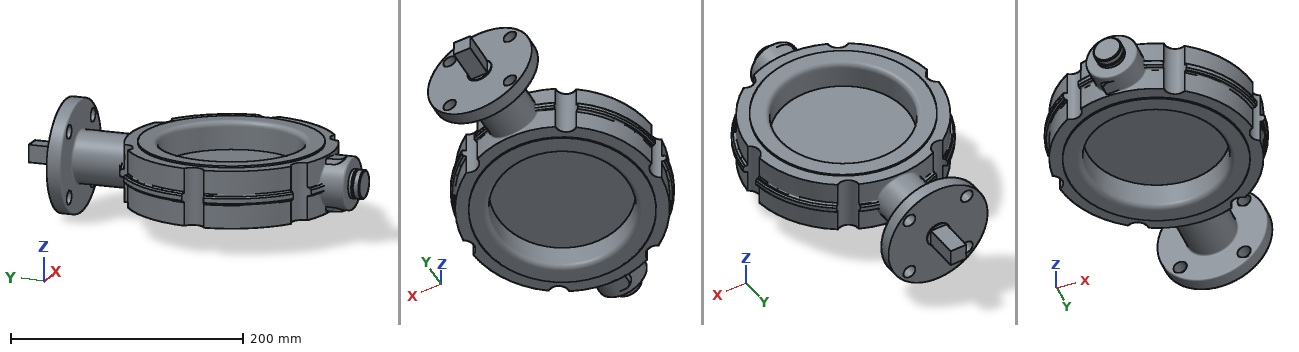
import cadquery as cq
import math


body_radius = 92.3
body_half_height = 25.7
seat_radius = 80.7
seat_half_height = 27.2
bore_radius = 63.3
bore_lip_radius = 5.0
disc_half_height = 1.8

rib_radius = 96.3
rib_half_width = 3.7
rib_edge_chamfer = 1.5

notch_count = 6
notch_radius = 10.0
notch_circle_radius = 96.3

root_fillet = 1.2

neck_radius = 23.5
neck_flange_fillet = 1.8
flange_radius = 50.7
flange_bottom = 138.2
flange_top = 151.0
flange_edge_fillet = 1.5
flange_hole_spacing = 58.7
flange_hole_diameter = 12.2

stem_collar_radius = 11.5
stem_collar_height = 1.0
stem_width = 16.0
stem_end = 183.5

boss_end = -112.0
boss_edge_fillet = 1.8
plug_radius = 12.8
plug_end = -122.3
plug_chamfer = 1.0
groove_start = -114.5
groove_width = 1.8
groove_depth = 1.5

pad_radius = 7.3
pad_center_x = -4.3
pad_center_y = -98.7
pad_root_y = -88.5
pad_depth = 5.5
pad_side_angle = 25.0

edge_tolerance = 0.05
edge_fractions = (0.2, 0.5, 0.8)


def y_cylinder(radius, y_start, y_end):
    """Cylinder on the Y axis between two Y positions."""
    plane = cq.Workplane("XZ", origin=(0, y_start, 0))
    return plane.circle(radius).extrude(y_start - y_end)


def z_cylinder(radius, half_height):
    """Cylinder on the Z axis, centred on the XY plane."""
    return cq.Workplane("XY").circle(radius).extrude(half_height, both=True)


def make_neck():
    """Neck with the flange, its holes and the square stem."""
    flange = y_cylinder(flange_radius, flange_bottom, flange_top)
    flange = flange.faces("<Y").edges().fillet(flange_edge_fillet)
    neck = flange.union(y_cylinder(neck_radius, 0, flange_bottom))
    reach = neck_radius + edge_tolerance
    flange_root = cq.selectors.BoxSelector(
        (-reach, flange_bottom - edge_tolerance, -reach),
        (reach, flange_bottom + edge_tolerance, reach),
        boundingbox=True,
    )
    neck = neck.edges(flange_root).fillet(neck_flange_fillet)
    holes = (
        cq.Workplane("XZ", origin=(0, flange_top, 0))
        .rect(flange_hole_spacing, flange_hole_spacing, forConstruction=True)
        .vertices()
        .circle(flange_hole_diameter / 2)
        .extrude(flange_top - flange_bottom)
    )
    collar = y_cylinder(stem_collar_radius, flange_top, flange_top + stem_collar_height)
    stem = cq.Workplane("XZ", origin=(0, stem_end, 0)).rect(stem_width, stem_width)
    stem = stem.extrude(stem_end - flange_top)
    return neck.cut(holes).union(collar).union(stem)


def make_pad():
    """Round-ended pad on the upper side of the boss, with sides that slope outward going down."""
    left = pad_center_x - pad_radius
    tip = pad_center_y - pad_radius
    return (
        cq.Workplane("XY", origin=(0, 0, neck_radius))
        .moveTo(left, pad_root_y)
        .lineTo(left, pad_center_y)
        .radiusArc((pad_center_x, tip), -pad_radius)
        .lineTo(0, tip)
        .lineTo(0, pad_root_y)
        .close()
        .extrude(-pad_depth, taper=-pad_side_angle)
    )


def make_plug():
    """Grooved round plug at the lower end."""
    plug = y_cylinder(plug_radius, boss_end, plug_end).faces("<Y").edges().chamfer(plug_chamfer)
    groove = y_cylinder(plug_radius, groove_start, groove_start - groove_width)
    core = y_cylinder(plug_radius - groove_depth, groove_start, groove_start - groove_width)
    return plug.cut(groove.cut(core))


def make_rib():
    """Rim rib with chamfered edges."""
    rib = z_cylinder(rib_radius, rib_half_width)
    return rib.edges().chamfer(rib_edge_chamfer)


def is_root_edge(edge):
    """True for an edge where the rib meets the rim, or where the neck or boss meets rim or rib."""
    points = [edge.positionAt(fraction) for fraction in edge_fractions]
    on_neck = all(
        abs(math.hypot(p.x, p.z) - neck_radius) < edge_tolerance and bore_radius < abs(p.y) < rib_radius
        for p in points
    )
    on_rib_side = all(
        abs(math.hypot(p.x, p.y) - body_radius) < edge_tolerance
        and abs(abs(p.z) - rib_half_width) < edge_tolerance
        for p in points
    )
    return on_neck or on_rib_side


def make_casting():
    """Solid body, rib, neck and boss, blended together at their roots."""
    casting = z_cylinder(body_radius, body_half_height).union(make_rib()).union(make_neck())
    boss = y_cylinder(neck_radius, 0, boss_end).faces("<Y").edges().fillet(boss_edge_fillet)
    casting = casting.union(boss)
    roots = [edge for edge in casting.edges().vals() if is_root_edge(edge)]
    return casting.newObject(roots).fillet(root_fillet)


def make_bore():
    """Bore above and below the closed disc, with rounded lips."""
    lip = bore_radius + bore_lip_radius
    upper = (
        cq.Workplane("XZ")
        .moveTo(0, disc_half_height)
        .lineTo(bore_radius, disc_half_height)
        .lineTo(bore_radius, seat_half_height - bore_lip_radius)
        .radiusArc((lip, seat_half_height), bore_lip_radius)
        .lineTo(0, seat_half_height)
        .close()
        .revolve(360, (0, 0, 0), (0, 1, 0))
    )
    return upper.union(upper.mirror("XY"))


def make_notches():
    """Half-round notches through the rim."""
    return (
        cq.Workplane("XY")
        .polarArray(notch_circle_radius, 0, 360, notch_count)
        .circle(notch_radius)
        .extrude(seat_half_height, both=True)
    )


pad = make_pad()
result = make_casting().union(pad).union(pad.mirror("XY")).union(make_plug())
result = result.union(z_cylinder(seat_radius, seat_half_height))
result = result.cut(make_bore()).cut(make_notches())